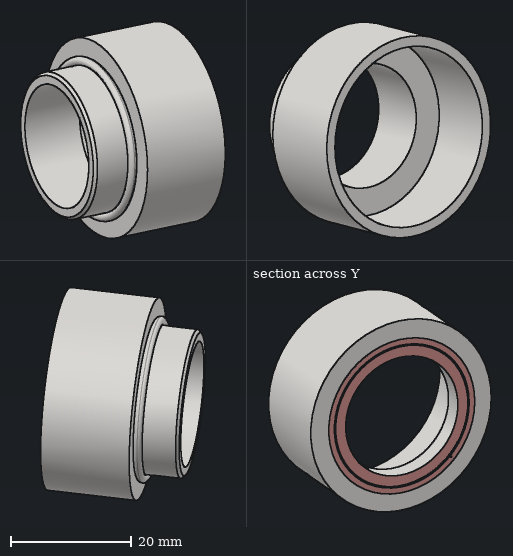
import cadquery as cq

body_diameter = 34.0
spigot_diameter = 25.0
bore_diameter = 21.0
socket_diameter = 30.5
socket_depth = 12.0
total_length = 22.5
body_length = 15.0
spigot_chamfer = 0.5
ring_section_radius = 0.75
ring_embed = 0.05

spigot_length = total_length - body_length
ring_offset = ring_section_radius - ring_embed
ring_center_radius = spigot_diameter / 2 + ring_offset


def cylinder_along_y(diameter, start_y, length):
    """Cylinder about the Y axis, running from start_y toward +Y."""
    return (
        cq.Workplane("XZ", origin=(0, start_y, 0))
        .circle(diameter / 2)
        .extrude(-length)
    )


def sealing_ring():
    """Round-section ring seated in the corner of the shoulder at Y = 0."""
    return (
        cq.Workplane("XY")
        .center(ring_center_radius, -ring_offset)
        .circle(ring_section_radius)
        .revolve(360, (-ring_center_radius, 0, 0), (-ring_center_radius, 1, 0))
    )


body = cylinder_along_y(body_diameter, 0, body_length)
spigot = cylinder_along_y(spigot_diameter, -spigot_length, spigot_length)
spigot = spigot.faces("<Y").edges().chamfer(spigot_chamfer)
bore = cylinder_along_y(bore_diameter, -spigot_length, total_length)
socket = cylinder_along_y(socket_diameter, body_length - socket_depth, socket_depth)

result = body.union(spigot).union(sealing_ring()).cut(bore).cut(socket)